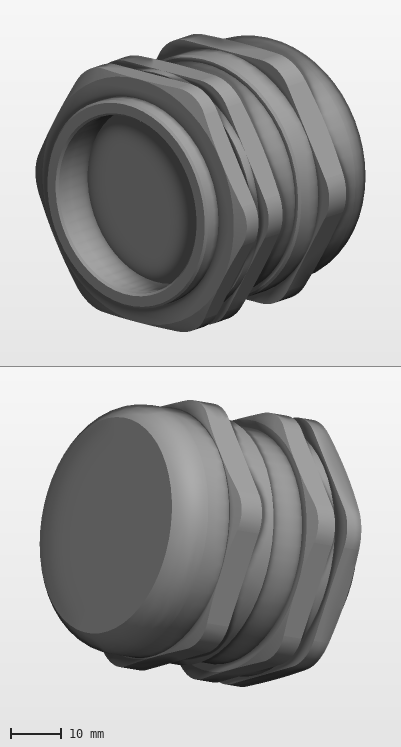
import cadquery as cq
import math

length = 46.5
width_across_flats = 50.0
width_across_corners = 55.25
hex_bevel_depth = 0.9
edge_chamfer = 0.45

thread_diameter = 42.0
bore_diameter = 36.0
bore_depth = 9.0
flange_diameter = 50.0
body_diameter = 47.0
cap_diameter = 49.5
cap_end_diameter = 42.9

locknut_start, locknut_end = 3.6, 7.95
flange_start, flange_end = 9.0, 10.95
body_hex_end = 15.95
cap_start = 23.5
cap_hex_start, cap_hex_end = 28.95, 34.85
dome_start = 40.0


def cylinder(diameter, start, end):
    """Solid cylinder along Y between two stations."""
    plane = cq.Workplane("XZ", origin=(0, start, 0))
    return plane.circle(diameter / 2).extrude(start - end)


def hexagon(start, end, bevel_at_start=False):
    """Hexagon with rounded corners and one face bevelled on its corners."""
    apothem = width_across_flats / 2
    sharp_radius = apothem / math.cos(math.pi / 6)
    corner_reach = width_across_corners / 2
    corner_radius = (sharp_radius - corner_reach) / (sharp_radius / apothem - 1)
    prism = (
        cq.Workplane("XZ", origin=(0, start, 0))
        .polygon(6, 2 * sharp_radius)
        .extrude(start - end)
        .edges("|Y")
        .fillet(corner_radius)
    )
    if bevel_at_start:
        plain_face, bevelled_face = end, start
        bevel_edge = start + hex_bevel_depth
    else:
        plain_face, bevelled_face = start, end
        bevel_edge = end - hex_bevel_depth
    blank = (
        cq.Workplane("XY")
        .moveTo(0, plain_face)
        .lineTo(corner_reach, plain_face)
        .lineTo(corner_reach, bevel_edge)
        .lineTo(apothem, bevelled_face)
        .lineTo(0, bevelled_face)
        .close()
        .revolve(360, (0, 0, 0), (0, 1, 0))
    )
    return prism.intersect(blank)


def domed_cap():
    """Cap with a chamfered rim and a dome tangent to its side."""
    side_radius = cap_diameter / 2
    end_radius = cap_end_diameter / 2
    dome_height = length - dome_start
    inset = side_radius - end_radius
    dome_radius = (inset**2 + dome_height**2) / (2 * inset)
    half_angle = math.asin(dome_height / dome_radius) / 2
    dome_middle = (
        side_radius - dome_radius * (1 - math.cos(half_angle)),
        dome_start + dome_radius * math.sin(half_angle),
    )
    return (
        cq.Workplane("XY")
        .moveTo(0, cap_start)
        .lineTo(side_radius - edge_chamfer, cap_start)
        .lineTo(side_radius, cap_start + edge_chamfer)
        .lineTo(side_radius, dome_start)
        .threePointArc(dome_middle, (end_radius, length))
        .lineTo(0, length)
        .close()
        .revolve(360, (0, 0, 0), (0, 1, 0))
    )


thread = cylinder(thread_diameter, 0, flange_start).faces("<Y").chamfer(edge_chamfer)

result = (
    thread
    .union(hexagon(locknut_start, locknut_end, bevel_at_start=True))
    .union(cylinder(flange_diameter, flange_start, flange_end))
    .union(hexagon(flange_end, body_hex_end))
    .union(cylinder(body_diameter, body_hex_end, cap_start))
    .union(domed_cap())
    .union(hexagon(cap_hex_start, cap_hex_end))
)

bore_radius = bore_diameter / 2
bore = (
    cq.Workplane("XY")
    .lineTo(bore_radius + edge_chamfer, 0)
    .lineTo(bore_radius, edge_chamfer)
    .lineTo(bore_radius, bore_depth)
    .lineTo(0, bore_depth)
    .close()
    .revolve(360, (0, 0, 0), (0, 1, 0))
)
result = result.cut(bore)